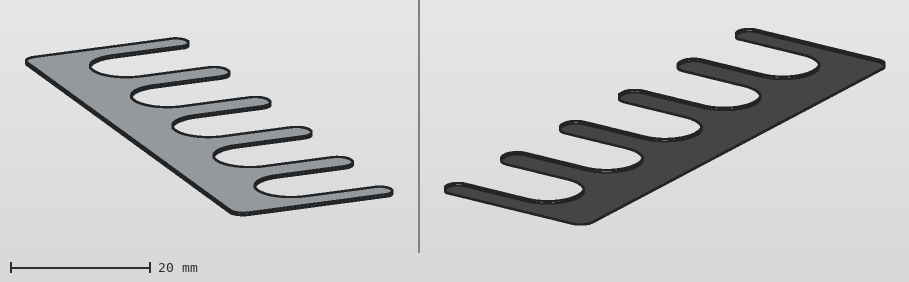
import math

import cadquery as cq

length = 78.0
depth = 25.0
thickness = 0.38

slot_count = 5
end_tooth_width = 3.75
inner_tooth_width = 4.5
back_width = 7.25

corner_radius = 2.0

inner_tooth_count = slot_count - 1
teeth_width = 2 * end_tooth_width + inner_tooth_count * inner_tooth_width
slot_width = (length - teeth_width) / slot_count
slot_pitch = slot_width + inner_tooth_width
slot_radius = slot_width / 2
back_y = -depth / 2
tip_y = depth / 2
slot_centre_y = back_y + back_width + slot_radius
first_slot_x = -slot_pitch * inner_tooth_count / 2
slot_centres = [first_slot_x + i * slot_pitch for i in range(slot_count)]

end_half_width = end_tooth_width / 2
end_tip_rise = corner_radius - math.sqrt(corner_radius**2 - end_half_width**2)
end_tooth_x = (length - end_tooth_width) / 2


def make_slot(centre_x):
    """Cutter for one U-shaped slot that opens at the tooth tips."""
    return (
        cq.Workplane("XY")
        .moveTo(centre_x - slot_radius, tip_y)
        .lineTo(centre_x - slot_radius, slot_centre_y)
        .threePointArc(
            (centre_x, slot_centre_y - slot_radius),
            (centre_x + slot_radius, slot_centre_y),
        )
        .lineTo(centre_x + slot_radius, tip_y)
        .close()
        .extrude(thickness)
    )


def make_end_tooth(centre_x):
    """End tooth with its arc tip, from the slot centre line upward."""
    left_x = centre_x - end_half_width
    right_x = centre_x + end_half_width
    shoulder_y = tip_y - end_tip_rise
    return (
        cq.Workplane("XY")
        .moveTo(left_x, slot_centre_y)
        .lineTo(left_x, shoulder_y)
        .threePointArc((centre_x, tip_y), (right_x, shoulder_y))
        .lineTo(right_x, slot_centre_y)
        .close()
        .extrude(thickness)
    )


def make_square_tooth(centre_x):
    """Square-ended block over an end tooth, down to the slot centre line."""
    tooth_length = tip_y - slot_centre_y
    return (
        cq.Workplane("XY")
        .center(centre_x, slot_centre_y + tooth_length / 2)
        .rect(end_tooth_width, tooth_length)
        .extrude(thickness)
    )


plate = cq.Workplane("XY").box(length, depth, thickness, centered=(True, True, False))
for slot_x in slot_centres:
    plate = plate.cut(make_slot(slot_x))

plate = plate.faces("<Y").edges("|Z").fillet(corner_radius)

for tooth_x in (-end_tooth_x, end_tooth_x):
    tip_waste = make_square_tooth(tooth_x).cut(make_end_tooth(tooth_x))
    plate = plate.cut(tip_waste)

plate = plate.faces(">Y").edges("|Z").fillet(corner_radius)

result = plate